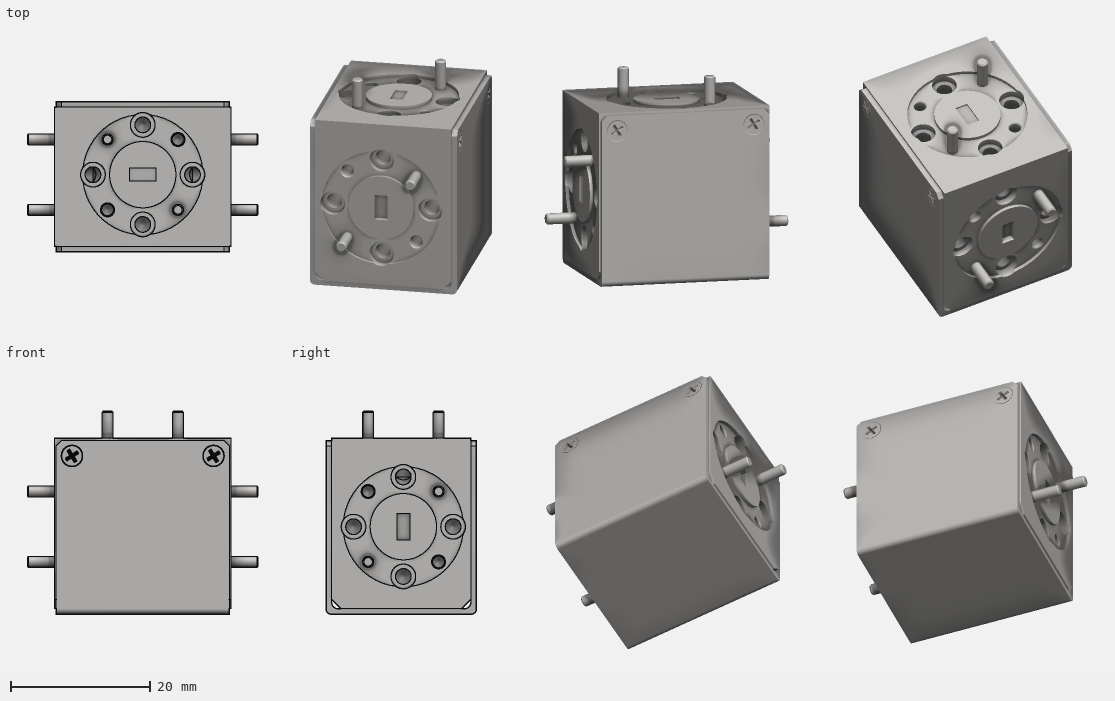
import cadquery as cq
import math


HOUSING_WIDTH = 25.4
COVER_OUTER_DEPTH = 21.59
COVER_THICKNESS = 0.8128
HOUSING_DEPTH = COVER_OUTER_DEPTH - 2 * COVER_THICKNESS
HOUSING_CENTRE_Y = -0.3
PORT_TO_FACE = HOUSING_WIDTH / 2
PIN_PROTRUSION = 3.88
OVERALL_HEIGHT = 29.16
COVER_BOTTOM_Z = PORT_TO_FACE + PIN_PROTRUSION - OVERALL_HEIGHT
HOUSING_BOTTOM_Z = COVER_BOTTOM_Z + COVER_THICKNESS
HOUSING_HEIGHT = PORT_TO_FACE - HOUSING_BOTTOM_Z
HOUSING_BOTTOM_CHAMFER = 1.3

LEFT_PORT = -90
TOP_PORT = 0
RIGHT_PORT = 90
PORT_ANGLES = (LEFT_PORT, TOP_PORT, RIGHT_PORT)
FLANGE_DIAMETER = 17.27
FLANGE_RECESS = 0.5
BOSS_DIAMETER = 9.53
WAVEGUIDE_WIDTH = 3.76
WAVEGUIDE_HEIGHT = 1.88
TOP_WAVEGUIDE_DEPTH = 0.25
SIDE_WAVEGUIDE_DEPTH = 0.95
BOLT_CIRCLE_RADIUS = 14.29 / 2
BOLT_HOLE_DIAMETER = 2.26
BOLT_HOLE_DEPTH = 5.56
COUNTERBORE_DIAMETER = 3.56
COUNTERBORE_DEPTH = 1.52
ALIGNMENT_HOLE_DIAMETER = 1.7
ALIGNMENT_HOLE_DEPTH = 5.0
ALIGNMENT_HOLE_CHAMFER = 0.15
DRILL_POINT_ANGLE = 118
PIN_DIAMETER = 1.6
PIN_TIP_CHAMFER = 0.18
BOLT_ANGLES = (0, 90, 180, 270)
HOLE_ANGLES = (45, 225)
PIN_ANGLES = (135, 315)

COVER_WIDTH = 24.89
COVER_TOP_GAP = 0.35
COVER_TOP_Z = PORT_TO_FACE - COVER_TOP_GAP
COVER_HEIGHT = COVER_TOP_Z - COVER_BOTTOM_Z
COVER_OUTER_RADIUS = 0.76
COVER_INNER_RADIUS = 0.9
COVER_CORNER_CHAMFER = 0.76

SCREW_X = 10.16
SCREW_Z = 10.16
SCREW_HEAD_DIAMETER = 2.95
SCREW_HEAD_CLEARANCE = 0.07
SCREW_SHANK_DIAMETER = 1.5
SCREW_LENGTH = 5.0
DRIVE_SPAN = 2.0
DRIVE_ARM_WIDTH = 0.44
DRIVE_DEPTH = 0.7
DRIVE_TAPER = 12
DRIVE_ROTATION = 32


def on_bolt_circle(angle):
    """Position on the bolt circle of the flange that faces +Z."""
    radians = math.radians(angle)
    return (BOLT_CIRCLE_RADIUS * math.cos(radians), BOLT_CIRCLE_RADIUS * math.sin(radians))


def drilled_hole(diameter, depth, position):
    """Round hole going down from the +Z face, with a conical drill point."""
    radius = diameter / 2
    point_length = radius / math.tan(math.radians(DRILL_POINT_ANGLE / 2))
    profile = (
        cq.Workplane("XZ")
        .moveTo(0, PORT_TO_FACE)
        .lineTo(radius, PORT_TO_FACE)
        .lineTo(radius, PORT_TO_FACE - depth)
        .lineTo(0, PORT_TO_FACE - depth - point_length)
        .close()
    )
    hole = profile.revolve(360, (0, 0, 0), (0, 1, 0))
    return hole.translate((position[0], position[1], 0))


def flange_cut(waveguide_depth):
    """Everything removed from the housing for the flange that faces +Z."""
    face = cq.Workplane("XY", origin=(0, 0, PORT_TO_FACE))
    floor_z = PORT_TO_FACE - FLANGE_RECESS
    cut = face.circle(FLANGE_DIAMETER / 2).circle(BOSS_DIAMETER / 2).extrude(-FLANGE_RECESS)
    cut = cut.union(face.rect(WAVEGUIDE_WIDTH, WAVEGUIDE_HEIGHT).extrude(-waveguide_depth))
    for angle in BOLT_ANGLES:
        position = on_bolt_circle(angle)
        counterbore = face.center(*position).circle(COUNTERBORE_DIAMETER / 2).extrude(-COUNTERBORE_DEPTH)
        cut = cut.union(counterbore)
        cut = cut.union(drilled_hole(BOLT_HOLE_DIAMETER, BOLT_HOLE_DEPTH, position))
    for angle in HOLE_ANGLES:
        position = on_bolt_circle(angle)
        cut = cut.union(drilled_hole(ALIGNMENT_HOLE_DIAMETER, ALIGNMENT_HOLE_DEPTH, position))
        mouth = cq.Solid.makeCone(
            ALIGNMENT_HOLE_DIAMETER / 2 + ALIGNMENT_HOLE_CHAMFER,
            ALIGNMENT_HOLE_DIAMETER / 2,
            ALIGNMENT_HOLE_CHAMFER,
            cq.Vector(position[0], position[1], floor_z),
            cq.Vector(0, 0, -1),
        )
        cut = cut.union(cq.Workplane(mouth))
    return cut


def flange_pins():
    """The two alignment pins that stand on the floor of the flange facing +Z."""
    floor = cq.Workplane("XY", origin=(0, 0, PORT_TO_FACE - FLANGE_RECESS))
    return (
        floor.pushPoints([on_bolt_circle(angle) for angle in PIN_ANGLES])
        .circle(PIN_DIAMETER / 2)
        .extrude(FLANGE_RECESS + PIN_PROTRUSION)
        .faces(">Z")
        .chamfer(PIN_TIP_CHAMFER)
    )


def place_screw_shape(shape, side):
    """Move a shape built along -Z from z = 0 into the cover's outer face on one side (-1 or +1 in Y)."""
    outer_y = HOUSING_CENTRE_Y + side * COVER_OUTER_DEPTH / 2
    turned = shape.rotate((0, 0, 0), (1, 0, 0), -side * 90)
    return [turned.translate((x, outer_y, SCREW_Z)) for x in (-SCREW_X, SCREW_X)]


def screw_blank():
    """Countersunk screw without its drive recess, head face at z = 0 and shank along -Z."""
    profile = (
        cq.Workplane("XZ")
        .lineTo(SCREW_HEAD_DIAMETER / 2, 0)
        .lineTo(SCREW_SHANK_DIAMETER / 2, -COVER_THICKNESS)
        .lineTo(SCREW_SHANK_DIAMETER / 2, -SCREW_LENGTH)
        .lineTo(0, -SCREW_LENGTH)
        .close()
    )
    return profile.revolve(360, (0, 0, 0), (0, 1, 0))


def cover_countersink():
    """Conical hole through the cover, slightly wider than the screw head, going down from z = 0."""
    cone = cq.Solid.makeCone(
        SCREW_HEAD_DIAMETER / 2 + SCREW_HEAD_CLEARANCE,
        SCREW_SHANK_DIAMETER / 2 + SCREW_HEAD_CLEARANCE,
        COVER_THICKNESS,
        cq.Vector(0, 0, 0),
        cq.Vector(0, 0, -1),
    )
    return cq.Workplane(cone)


def make_screw():
    """Countersunk screw with a tapered cross recess."""
    screw = screw_blank()
    for angle in (DRIVE_ROTATION, DRIVE_ROTATION + 90):
        arm = cq.Workplane("XY").rect(DRIVE_SPAN, DRIVE_ARM_WIDTH).extrude(-DRIVE_DEPTH, taper=DRIVE_TAPER)
        screw = screw.cut(arm.rotate((0, 0, 0), (0, 0, 1), angle))
    return screw


def make_housing():
    """Block with three flanges, their pins and the holes for the cover screws."""
    housing = (
        cq.Workplane("XY", origin=(0, HOUSING_CENTRE_Y, HOUSING_BOTTOM_Z))
        .rect(HOUSING_WIDTH, HOUSING_DEPTH)
        .extrude(HOUSING_HEIGHT)
        .faces("<Z")
        .edges("|X")
        .chamfer(HOUSING_BOTTOM_CHAMFER)
    )
    for angle in PORT_ANGLES:
        waveguide_depth = TOP_WAVEGUIDE_DEPTH if angle == TOP_PORT else SIDE_WAVEGUIDE_DEPTH
        housing = housing.cut(flange_cut(waveguide_depth).rotate((0, 0, 0), (0, 1, 0), angle))
    for angle in PORT_ANGLES:
        housing = housing.union(flange_pins().rotate((0, 0, 0), (0, 1, 0), angle))
    for side in (-1, 1):
        for screw_space in place_screw_shape(screw_blank(), side):
            housing = housing.cut(screw_space)
    return housing


def make_cover():
    """Sheet bent round the front, bottom and back of the housing."""
    blank = (
        cq.Workplane("XY", origin=(0, HOUSING_CENTRE_Y, COVER_BOTTOM_Z))
        .rect(COVER_WIDTH, COVER_OUTER_DEPTH)
        .extrude(COVER_HEIGHT)
    )
    blank = blank.faces("<Z").edges("|X").fillet(COVER_OUTER_RADIUS)
    blank = blank.faces(">Z").edges("|Y").chamfer(COVER_CORNER_CHAMFER)
    inside = (
        cq.Workplane("XY", origin=(0, HOUSING_CENTRE_Y, HOUSING_BOTTOM_Z))
        .rect(HOUSING_WIDTH, HOUSING_DEPTH)
        .extrude(HOUSING_HEIGHT)
        .faces("<Z")
        .edges("|X")
        .fillet(COVER_INNER_RADIUS)
    )
    cover = blank.cut(inside)
    for side in (-1, 1):
        for countersink in place_screw_shape(cover_countersink(), side):
            cover = cover.cut(countersink)
    return cover


housing = make_housing()
cover = make_cover()
screws = [screw for side in (-1, 1) for screw in place_screw_shape(make_screw(), side)]

result = cq.Compound.makeCompound([housing.val(), cover.val(), *[screw.val() for screw in screws]])